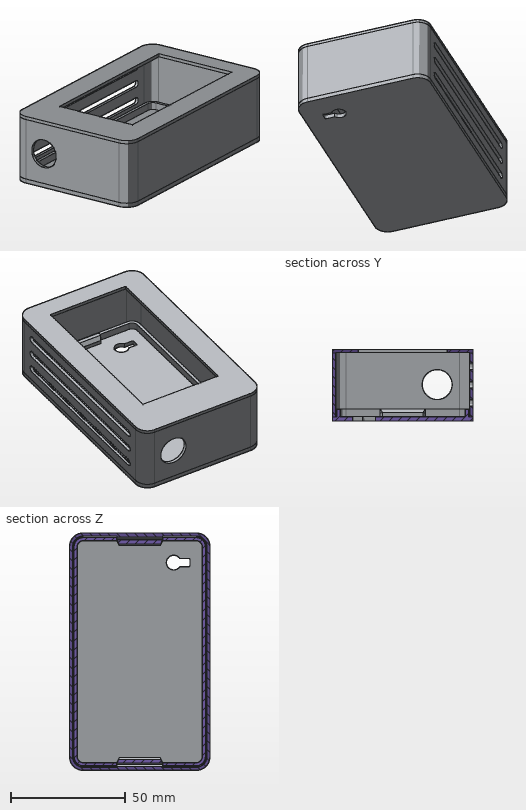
import cadquery as cq

width = 61.6
length = 104.0
corner_radius = 6.0
wall = 1.5

base_thickness = 2.0
frame_height = 28.0
lid_thickness = 1.5
frame_top = base_thickness + frame_height
frame_mid = base_thickness + frame_height / 2

lip_clearance = 0.5
lip_thickness = 1.5
lip_height = 3.2
lip_outer_inset = wall + lip_clearance
lip_inner_inset = lip_outer_inset + lip_thickness

snap_length = 20.0
ridge_depth = 1.1
groove_depth = 2.4
backing_depth = 2.2
backing_chamfer = 1.6
backing_end_taper = 1.0

keyhole_x = 14.9
keyhole_y = 39.0
keyhole_diameter = 6.3
keyhole_slot_width = 3.4
keyhole_slot_reach = 7.1
keyhole_corner_radius = 0.4

cable_hole_diameter = 13.0
cable_hole_x = -15.1
vent_count = 3
vent_length = 82.7
vent_width = 3.0
vent_pitch = 8.0

window_width = 38.8
window_length = 76.7
window_y = 4.6


def rounded_block(inset, bottom, height):
    """Block with rounded upright edges, its sides set in from the outer faces of the case."""
    return (
        cq.Workplane("XY", origin=(0, 0, bottom))
        .rect(width - 2 * inset, length - 2 * inset)
        .extrude(height)
        .edges("|Z")
        .fillet(corner_radius - inset)
    )


def at_both_ends(part):
    """The part at the +Y end together with its mirror image at the -Y end."""
    return part.union(part.mirror("XZ"))


def snap_prism(depth):
    """Triangular prism along X on the inner face of the +Y wall, with 45 degree flanks."""
    wall_face = length / 2 - wall
    crest_z = base_thickness + lip_height / 2
    return (
        cq.Workplane("YZ", origin=(-snap_length / 2, 0, 0))
        .moveTo(wall_face, crest_z - depth)
        .lineTo(wall_face - depth, crest_z)
        .lineTo(wall_face, crest_z + depth)
        .close()
        .extrude(snap_length)
    )


def snap_backing():
    """Thicker stretch of the +Y lip, with tapered ends and a chamfer along its upper edge."""
    lip_face = length / 2 - lip_inner_inset
    front = lip_face - backing_depth
    half_length = snap_length / 2
    return (
        cq.Workplane("XY", origin=(0, 0, base_thickness))
        .moveTo(-half_length, lip_face)
        .lineTo(-half_length + backing_end_taper, front)
        .lineTo(half_length - backing_end_taper, front)
        .lineTo(half_length, lip_face)
        .close()
        .extrude(lip_height)
        .faces("<Y")
        .edges(">Z")
        .chamfer(backing_chamfer)
    )


def make_lip():
    lip = rounded_block(lip_outer_inset, base_thickness, lip_height).cut(
        rounded_block(lip_inner_inset, base_thickness, lip_height)
    )
    return lip.union(at_both_ends(snap_backing())).cut(at_both_ends(snap_prism(groove_depth)))


def make_keyhole():
    """Round head with a narrower slot running from its centre toward +X."""
    keyhole_plane = cq.Workplane("XY", origin=(keyhole_x, keyhole_y, 0))
    head = keyhole_plane.circle(keyhole_diameter / 2).extrude(base_thickness)
    slot = (
        keyhole_plane
        .center(keyhole_slot_reach / 2, 0)
        .rect(keyhole_slot_reach, keyhole_slot_width)
        .extrude(base_thickness)
        .edges("|Z and >X")
        .fillet(keyhole_corner_radius)
    )
    return head.union(slot)


def make_base():
    plate = rounded_block(0, 0, base_thickness)
    return plate.union(make_lip()).cut(make_keyhole())


def make_frame():
    frame = rounded_block(0, base_thickness, frame_height).cut(
        rounded_block(wall, base_thickness, frame_height)
    )

    cable_hole = (
        cq.Workplane("XZ", origin=(cable_hole_x, -length / 2, frame_mid))
        .circle(cable_hole_diameter / 2)
        .extrude(-wall)
    )

    vents = (
        cq.Workplane("YZ", origin=(-width / 2, 0, frame_mid))
        .rarray(1, vent_pitch, 1, vent_count)
        .slot2D(vent_length, vent_width)
        .extrude(wall)
    )
    return frame.cut(cable_hole).cut(vents).union(at_both_ends(snap_prism(ridge_depth)))


def make_lid():
    window = (
        cq.Workplane("XY", origin=(0, window_y, frame_top))
        .rect(window_width, window_length)
        .extrude(lid_thickness)
    )
    return rounded_block(0, frame_top, lid_thickness).cut(window)


base = make_base()
frame = make_frame()
lid = make_lid()

result = cq.Compound.makeCompound([base.val(), frame.val(), lid.val()])